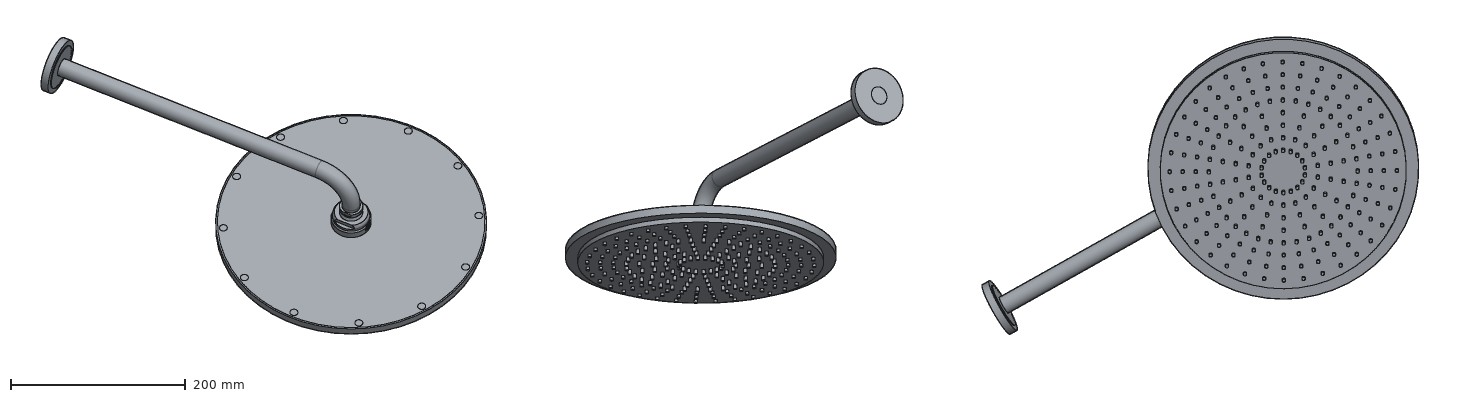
import cadquery as cq
import math

total_length = 535.0
total_height = 128.5

flange_diameter = 65.5
flange_rim_thickness = 9.0
flange_face_diameter = 52.5
flange_thickness = 10.0

arm_diameter = 21.0
bend_radius = 40.5

head_diameter = 310.0
spray_face_diameter = 281.5
spray_face_level = 5.5
rim_bottom_level = 11.0
head_top_level = 21.0
lid_edge_width = 2.0
lid_thickness = 3.0

post_count = 12
post_diameter = 9.0
post_circle_diameter = 292.5

nozzle_diameter = 4.0
outer_nozzle_length = 3.0
inner_nozzle_length = spray_face_level
outermost_ring_radius = 130.0
ring_spacing = 15.0
outer_ring_counts = [36, 36, 36]
inner_ring_counts = [36, 18, 18, 18, 18]

socket_diameter = 46.0
socket_top_level = 31.0
socket_chamfer = 1.5
socket_flat_spacing = 44.0
socket_flat_bottom_level = 24.5
socket_recess_floor_level = 26.0

nut_diameter = 43.0
nut_top_level = 39.0
nut_flat_spacing = 33.5
nut_flat_bottom_level = 34.0
dome_inset = 2.0
dome_bulge = 0.4

collar_diameter = 27.0
collar_flat_spacing = 24.0
collar_top_level = 51.0
collar_bottom_level = 45.5
neck_diameter = 23.0
cone_top_level = 43.0
cone_bottom_diameter = collar_diameter

head_x = total_length - head_diameter / 2
arm_z = total_height - flange_diameter / 2
bend_start_x = head_x - bend_radius
lid_diameter = head_diameter - 2 * lid_edge_width
lid_bottom_level = head_top_level - lid_thickness


def disc(diameter, bottom, top):
    """Upright cylinder on the head axis between two levels."""
    return cq.Workplane("XY", origin=(head_x, 0, bottom)).circle(diameter / 2).extrude(top - bottom)


def flatted_disc(diameter, bottom, top, x_spacing, y_spacing):
    """Upright cylinder trimmed by pairs of flats at the given spacings."""
    trim = cq.Workplane("XY", origin=(head_x, 0, bottom)).rect(x_spacing, y_spacing).extrude(top - bottom)
    return disc(diameter, bottom, top).intersect(trim)


def wall_disc(diameter, start_x, end_x):
    """Cylinder along X on the arm axis."""
    return cq.Workplane("YZ", origin=(start_x, 0, arm_z)).circle(diameter / 2).extrude(end_x - start_x)


def make_flange():
    """Stepped wall plate around the end of the arm."""
    rim = wall_disc(flange_diameter, 0, flange_rim_thickness)
    face = wall_disc(flange_face_diameter, flange_rim_thickness, flange_thickness)
    arm_hole = wall_disc(arm_diameter, 0, flange_thickness)
    return rim.union(face).cut(arm_hole)


def make_arm():
    """Round bar that leaves the wall along X and bends down to the connector."""
    bend_drop = bend_radius * (1 - math.sqrt(0.5))
    path = (
        cq.Workplane("XZ")
        .moveTo(0, arm_z)
        .lineTo(bend_start_x, arm_z)
        .threePointArc(
            (head_x - bend_drop, arm_z - bend_drop),
            (head_x, arm_z - bend_radius),
        )
        .lineTo(head_x, collar_top_level)
    )
    return cq.Workplane("YZ", origin=(0, 0, arm_z)).circle(arm_diameter / 2).sweep(path)


def make_connector():
    """Collar with two wrench flats, a neck and a cone that rests on the nut."""
    collar = flatted_disc(
        collar_diameter, collar_bottom_level, collar_top_level, collar_diameter, collar_flat_spacing
    )
    neck = disc(neck_diameter, cone_top_level, collar_bottom_level)
    cone = (
        cq.Workplane("XY", origin=(head_x, 0, cone_top_level))
        .circle(neck_diameter / 2)
        .workplane(offset=nut_top_level - cone_top_level)
        .circle(cone_bottom_diameter / 2)
        .loft()
    )
    return collar.union(neck).union(cone)


def make_nut():
    """Round nut with a domed edge above the flats, standing in the socket recess."""
    radius = nut_diameter / 2
    dome_height = nut_top_level - nut_flat_bottom_level
    dome_middle = (
        radius - dome_bulge * dome_inset,
        nut_top_level - dome_bulge * dome_height,
    )
    blank = (
        cq.Workplane("XZ", origin=(head_x, 0, 0))
        .moveTo(0, socket_recess_floor_level)
        .lineTo(radius, socket_recess_floor_level)
        .lineTo(radius, nut_flat_bottom_level)
        .threePointArc(dome_middle, (radius - dome_inset, nut_top_level))
        .lineTo(0, nut_top_level)
        .close()
        .revolve(360, (0, 0, 0), (0, 1, 0))
    )
    lower = disc(nut_diameter, socket_recess_floor_level, nut_flat_bottom_level)
    upper = flatted_disc(nut_diameter, nut_flat_bottom_level, nut_top_level, nut_diameter, nut_flat_spacing)
    return blank.intersect(lower.union(upper))


def make_posts():
    """Ring of posts through the thickness of the lid."""
    return (
        cq.Workplane("XY", origin=(head_x, 0, lid_bottom_level))
        .polarArray(post_circle_diameter / 2, 0, 360, post_count)
        .circle(post_diameter / 2)
        .extrude(lid_thickness)
    )


def make_lid():
    """Round plate with post holes, carrying the swivel socket with two wrench flats."""
    plate = disc(lid_diameter, lid_bottom_level, head_top_level)
    socket = disc(socket_diameter, head_top_level, socket_top_level)
    socket = socket.faces(">Z").edges().chamfer(socket_chamfer)
    base = disc(socket_diameter, head_top_level, socket_flat_bottom_level)
    flats = flatted_disc(
        socket_diameter, socket_flat_bottom_level, socket_top_level, socket_flat_spacing, socket_diameter
    )
    recess = disc(nut_diameter, socket_recess_floor_level, socket_top_level)
    return plate.cut(make_posts()).union(socket.intersect(base.union(flats)).cut(recess))


def nozzle_ring(radius, count, length):
    """Ring of nozzles hanging from the spray face."""
    return (
        cq.Workplane("XY", origin=(head_x, 0, spray_face_level))
        .polarArray(radius, 0, 360, count)
        .circle(nozzle_diameter / 2)
        .extrude(-length)
    )


def make_pan():
    """Stepped dish with a recess for the lid, posts inside it and nozzles underneath."""
    spray_face = disc(spray_face_diameter, spray_face_level, rim_bottom_level)
    rim = disc(head_diameter, rim_bottom_level, head_top_level)
    lid_recess = disc(lid_diameter, lid_bottom_level, head_top_level)
    pan = spray_face.union(rim).cut(lid_recess).union(make_posts())
    for index, count in enumerate(outer_ring_counts + inner_ring_counts):
        is_outer = index < len(outer_ring_counts)
        length = outer_nozzle_length if is_outer else inner_nozzle_length
        pan = pan.union(nozzle_ring(outermost_ring_radius - index * ring_spacing, count, length))
    return pan


flange = make_flange()
arm = make_arm()
connector = make_connector()
nut = make_nut()
lid = make_lid()
pan = make_pan()

result = cq.Compound.makeCompound(
    [flange.val(), arm.val(), connector.val(), nut.val(), lid.val(), pan.val()]
)